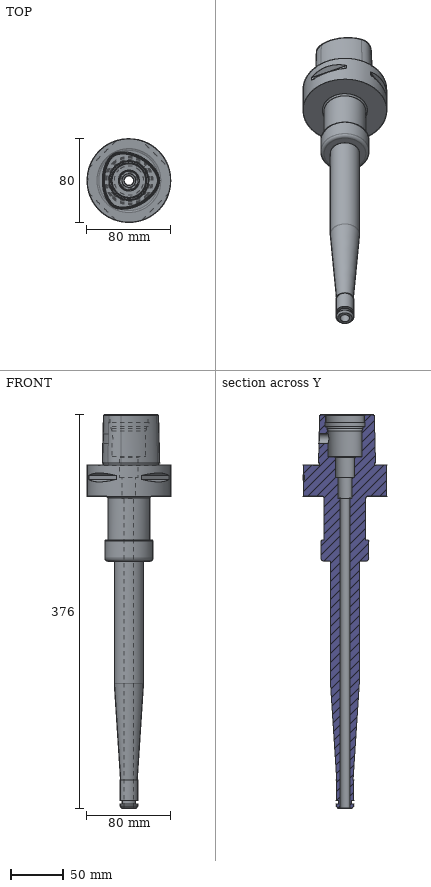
import cadquery as cq
import math


SHANK_LENGTH = 48.0
SHANK_BASE_WIDTH = 55.0
SHANK_TAPER = 1 / 20
LOBE_HEIGHT = 2.0
LOBE_COUNT = 3
LOBE_NORMAL_SPAN = math.radians(54)
SIDE_NORMAL_SPAN = 2 * math.pi / LOBE_COUNT - LOBE_NORMAL_SPAN
SHANK_CHAMFER = 1.0
STEPS_PER_FACE = 6

UNDERCUT_HEIGHT = 2.0
UNDERCUT_DEPTH = 0.8

RELIEF_DIAMETER = 61.0
RELIEF_FLOOR_DIAMETER = 57.5
RELIEF_DEPTH = 0.5

FLANGE_DIAMETER = 80.0
FLANGE_HEIGHT = 30.0

GROOVE_ANGLES = (45, 135, 225, 315)
GROOVE_MIDDLE_Z = -12.0
GROOVE_DEPTH = 4.5
GROOVE_FLOOR_HEIGHT = 3.5
GROOVE_MOUTH_HEIGHT = 8.5

NECK_DIAMETER = 40.0
NECK_COLLAR_DIAMETER = 43.0
NECK_COLLAR_HEIGHT = 1.5
NUT_DIAMETER = 46.0
NUT_TOP_Z = -71.5
NUT_HEIGHT = 20.5
NUT_TOP_CHAMFER = 1.0
NUT_BOTTOM_FILLET = 3.0
SHAFT_DIAMETER = 28.0
CONE_TOP_Z = -208.5
CONE_BOTTOM_Z = -301.0
CONE_BOTTOM_DIAMETER = 16.0
TIP_DIAMETER = 17.0
TIP_GROOVE_DIAMETER = 13.0
TIP_GROOVE_TOP_Z = -320.5
TIP_GROOVE_HEIGHT = 3.0
TIP_CHAMFER_HEIGHT = 2.2
TIP_CHAMFER_WIDTH = 1.7
TIP_Z = -328.0

BORE_SECTIONS = [
    (38.0, 36.5, 0.75),
    (36.5, 36.5, 7.5),
    (38.0, 38.0, 11.5),
    (34.0, 34.0, 13.5),
    (34.0, 32.0, 15.5),
    (32.0, 32.0, 40.0),
    (20.0, 17.84, 41.0),
    (17.84, 17.84, 60.0),
    (13.0, 13.0, 80.0),
    (9.0, 9.0, SHANK_LENGTH - TIP_Z),
]

SHANK_HOLE_DIAMETER = 9.1
SHANK_HOLE_Z = 25.0
FLANGE_HOLE_DIAMETER = 4.0
FLANGE_HOLE_DEPTH = 1.0


def polygon_point(width, angle):
    """Point of the constant-width polygon whose outward normal is at `angle`."""
    x = width / 2 * math.cos(angle) + LOBE_HEIGHT * (2 * math.cos(2 * angle) - math.cos(4 * angle))
    y = width / 2 * math.sin(angle) - LOBE_HEIGHT * (2 * math.sin(2 * angle) + math.sin(4 * angle))
    return (x, y)


def polygon_wire(width, z):
    """Closed outline made of one curve per lobe and one per side."""
    outline = cq.Workplane("XY").workplane(offset=z)
    angle = -LOBE_NORMAL_SPAN / 2
    outline = outline.moveTo(*polygon_point(width, angle))
    for span in LOBE_COUNT * [LOBE_NORMAL_SPAN, SIDE_NORMAL_SPAN]:
        angles = [angle + span * step / STEPS_PER_FACE for step in range(1, STEPS_PER_FACE + 1)]
        points = [polygon_point(width, point_angle) for point_angle in angles]
        outline = outline.spline(points, includeCurrent=True)
        angle += span
    return outline.close().val()


def shank_width(z):
    return SHANK_BASE_WIDTH - z * SHANK_TAPER


def disc(diameter, top_z, bottom_z):
    return cq.Workplane("XY").workplane(offset=bottom_z).circle(diameter / 2).extrude(top_z - bottom_z)


def cone(top_diameter, bottom_diameter, top_z, bottom_z):
    base = cq.Vector(0, 0, bottom_z)
    return cq.Workplane(cq.Solid.makeCone(bottom_diameter / 2, top_diameter / 2, top_z - bottom_z, pnt=base))


def polygon_loft(bottom_width, top_width, bottom_z, top_z):
    outlines = [polygon_wire(bottom_width, bottom_z), polygon_wire(top_width, top_z)]
    return cq.Workplane(cq.Solid.makeLoft(outlines, True))


def make_shank():
    root_width = shank_width(UNDERCUT_HEIGHT) - 2 * UNDERCUT_DEPTH
    edge_z = SHANK_LENGTH - SHANK_CHAMFER
    edge_width = shank_width(edge_z)
    root = polygon_loft(root_width, root_width, -RELIEF_DEPTH, UNDERCUT_HEIGHT)
    body = polygon_loft(shank_width(UNDERCUT_HEIGHT), edge_width, UNDERCUT_HEIGHT, edge_z)
    lead_in = polygon_loft(edge_width, edge_width - 2 * SHANK_CHAMFER, edge_z, SHANK_LENGTH)
    return root.union(body).union(lead_in)


def make_flange():
    flange = disc(FLANGE_DIAMETER, 0, -FLANGE_HEIGHT)
    flange = flange.cut(cone(RELIEF_DIAMETER, RELIEF_FLOOR_DIAMETER, 0, -RELIEF_DEPTH))
    groove = make_gripper_groove()
    for angle in GROOVE_ANGLES:
        flange = flange.cut(groove.rotate((0, 0, 0), (0, 0, 1), angle))
    return flange


def make_gripper_groove():
    """Trapezoidal bar along Y, cutting the +X side of the flange."""
    rim = FLANGE_DIAMETER / 2
    floor = rim - GROOVE_DEPTH
    half_floor = GROOVE_FLOOR_HEIGHT / 2
    half_mouth = GROOVE_MOUTH_HEIGHT / 2
    profile = [
        (floor, GROOVE_MIDDLE_Z - half_floor),
        (rim, GROOVE_MIDDLE_Z - half_mouth),
        (rim, GROOVE_MIDDLE_Z + half_mouth),
        (floor, GROOVE_MIDDLE_Z + half_floor),
    ]
    return cq.Workplane("XZ").polyline(profile).close().extrude(rim, both=True)


def make_arbor():
    nut_bottom_z = NUT_TOP_Z - NUT_HEIGHT
    groove_bottom_z = TIP_GROOVE_TOP_Z - TIP_GROOVE_HEIGHT
    nut = disc(NUT_DIAMETER, NUT_TOP_Z, nut_bottom_z)
    nut = nut.faces(">Z").edges().chamfer(NUT_TOP_CHAMFER)
    nut = nut.faces("<Z").edges().fillet(NUT_BOTTOM_FILLET)
    chamfer_z = TIP_Z + TIP_CHAMFER_HEIGHT
    collar_z = -FLANGE_HEIGHT - NECK_COLLAR_HEIGHT
    arbor = cone(NECK_COLLAR_DIAMETER, NECK_DIAMETER, -FLANGE_HEIGHT, collar_z)
    arbor = arbor.union(disc(NECK_DIAMETER, collar_z, NUT_TOP_Z))
    arbor = arbor.union(nut)
    arbor = arbor.union(disc(SHAFT_DIAMETER, nut_bottom_z, CONE_TOP_Z))
    arbor = arbor.union(cone(SHAFT_DIAMETER, CONE_BOTTOM_DIAMETER, CONE_TOP_Z, CONE_BOTTOM_Z))
    arbor = arbor.union(disc(TIP_DIAMETER, CONE_BOTTOM_Z, TIP_GROOVE_TOP_Z))
    arbor = arbor.union(disc(TIP_GROOVE_DIAMETER, TIP_GROOVE_TOP_Z, groove_bottom_z))
    arbor = arbor.union(disc(TIP_DIAMETER, groove_bottom_z, chamfer_z))
    return arbor.union(cone(TIP_DIAMETER, TIP_DIAMETER - 2 * TIP_CHAMFER_WIDTH, chamfer_z, TIP_Z))


def cut_bore(body):
    top_z = SHANK_LENGTH
    for top_diameter, bottom_diameter, depth in BORE_SECTIONS:
        bottom_z = SHANK_LENGTH - depth
        if top_diameter == bottom_diameter:
            section = disc(top_diameter, top_z, bottom_z)
        else:
            section = cone(top_diameter, bottom_diameter, top_z, bottom_z)
        body = body.cut(section)
        top_z = bottom_z
    return body


def radial_hole(diameter, z, start_x, length):
    """Hole along +X that starts at start_x on the -X side."""
    return cq.Workplane("YZ").workplane(offset=start_x).center(0, z).circle(diameter / 2).extrude(length)


rim_x = -FLANGE_DIAMETER / 2
part = make_shank().union(make_flange()).union(make_arbor())
part = cut_bore(part)
part = part.cut(radial_hole(SHANK_HOLE_DIAMETER, SHANK_HOLE_Z, rim_x, -rim_x))
result = part.cut(radial_hole(FLANGE_HOLE_DIAMETER, GROOVE_MIDDLE_Z, rim_x, FLANGE_HOLE_DEPTH))